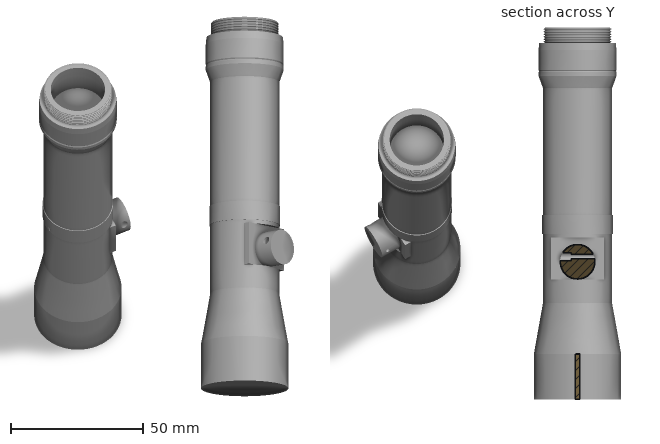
import cadquery as cq


BELL_TOP = 17.1
CONE_TOP = 36.4
RING_BOTTOM = 62.5
RING_TOP = 69.6
FLARE_BOTTOM = 117.5
FLARE_TOP = 122.1
COLLAR_SHOULDER = 131.8
COLLAR_TOP = 134.6
OVERALL_HEIGHT = 140.4

BELL_DIAMETER = 33.0
BELL_RADIUS = BELL_DIAMETER / 2
TUBE_RADIUS = 13.0
RING_RADIUS = 13.3
COLLAR_RADIUS = 14.7
COLLAR_RIM_RADIUS = 14.5

GROOVE_BOTTOM = 123.5
GROOVE_WIDTH = 0.8
GROOVE_DEPTH = 0.3

THREAD_CREST_RADIUS = 12.8
THREAD_DEPTH = 0.4
THREAD_COUNT = 6
BORE_RADIUS = 10.2
BORE_FLOOR = 127.7

PAD_BOTTOM = 45.2
PAD_TOP = 61.0
PAD_WIDTH = 19.9
PAD_FACE = 11.1

KNOB_RADIUS = 6.6
KNOB_HEIGHT = 51.9
OVERALL_DEPTH = 35.5
KNOB_END = OVERALL_DEPTH - BELL_RADIUS
CROSS_HOLE_DIAMETER = 1.5
CROSS_HOLE_Y = 16.4
CROSS_HOLE_Z = 53.9
SCREW_HOLE_DIAMETER = 2.8
SCREW_HOLE_DEPTH = 4.2

POINTER_X = 2.4
POINTER_WIDTH = 1.7
POINTER_HEIGHT = 2.0
POINTER_DEPTH = 0.3


def cylinder(radius, bottom, top):
    return cq.Workplane("XY").workplane(offset=bottom).circle(radius).extrude(top - bottom)


def turned(profile):
    """Revolve a (radius, height) outline about the Z axis."""
    return cq.Workplane("XZ").polyline(profile).close().revolve(360, (0, 0), (0, 1))


def make_bell():
    return cylinder(BELL_RADIUS, 0, BELL_TOP)


def make_pointer():
    """Triangle pointing down to the lower edge of the ring, cut in from the front."""
    half_width = POINTER_WIDTH / 2
    base = RING_BOTTOM + POINTER_HEIGHT
    prism = (
        cq.Workplane("XZ")
        .polyline([
            (POINTER_X - half_width, base),
            (POINTER_X + half_width, base),
            (POINTER_X, RING_BOTTOM),
        ])
        .close()
        .extrude(BELL_RADIUS)
    )
    return prism.cut(cylinder(RING_RADIUS - POINTER_DEPTH, RING_BOTTOM, RING_TOP))


def pad_block(width, inner_face, outer_face):
    """Block over the pad's height, between two faces square to Y."""
    block = cq.Workplane("XY").box(
        width, outer_face - inner_face, PAD_TOP - PAD_BOTTOM, centered=(True, False, False)
    )
    return block.translate((0, inner_face, PAD_BOTTOM))


def make_lower_body():
    body = turned([
        (0, BELL_TOP),
        (BELL_RADIUS, BELL_TOP),
        (TUBE_RADIUS, CONE_TOP),
        (TUBE_RADIUS, RING_BOTTOM),
        (RING_RADIUS, RING_BOTTOM),
        (RING_RADIUS, RING_TOP),
        (0, RING_TOP),
    ])
    pad = pad_block(PAD_WIDTH, 0, PAD_FACE)
    cutback = pad_block(2 * BELL_RADIUS, PAD_FACE, BELL_RADIUS)
    return body.union(pad).cut(cutback).cut(make_pointer())


def make_knob():
    """Round knob on the pad, drilled across and opened wider from the +X side."""
    knob = (
        cq.Workplane("XZ", origin=(0, PAD_FACE, KNOB_HEIGHT))
        .circle(KNOB_RADIUS)
        .extrude(PAD_FACE - KNOB_END)
    )
    cross_hole = (
        cq.Workplane("YZ", origin=(-KNOB_RADIUS, CROSS_HOLE_Y, CROSS_HOLE_Z))
        .circle(CROSS_HOLE_DIAMETER / 2)
        .extrude(2 * KNOB_RADIUS)
    )
    screw_hole = (
        cq.Workplane("YZ", origin=(KNOB_RADIUS - SCREW_HOLE_DEPTH, CROSS_HOLE_Y, CROSS_HOLE_Z))
        .circle(SCREW_HOLE_DIAMETER / 2)
        .extrude(SCREW_HOLE_DEPTH)
    )
    return knob.cut(cross_hole).cut(screw_hole)


def make_barrel():
    return turned([
        (0, RING_TOP),
        (TUBE_RADIUS, RING_TOP),
        (TUBE_RADIUS, FLARE_BOTTOM),
        (COLLAR_RADIUS, FLARE_TOP),
        (0, FLARE_TOP),
    ])


def make_threaded_collar():
    """Grooved collar with a bored spigot whose thread is a stack of flat-topped ridges."""
    root_radius = THREAD_CREST_RADIUS - THREAD_DEPTH
    pitch = (OVERALL_HEIGHT - COLLAR_TOP) / THREAD_COUNT
    profile = [
        (0, FLARE_TOP),
        (COLLAR_RADIUS, FLARE_TOP),
        (COLLAR_RADIUS, GROOVE_BOTTOM),
        (COLLAR_RADIUS - GROOVE_DEPTH, GROOVE_BOTTOM + GROOVE_WIDTH / 2),
        (COLLAR_RADIUS, GROOVE_BOTTOM + GROOVE_WIDTH),
        (COLLAR_RADIUS, COLLAR_SHOULDER),
        (COLLAR_RIM_RADIUS, COLLAR_TOP),
        (root_radius, COLLAR_TOP),
    ]
    for i in range(THREAD_COUNT):
        ridge_base = COLLAR_TOP + i * pitch
        profile.append((THREAD_CREST_RADIUS, ridge_base + pitch / 4))
        profile.append((THREAD_CREST_RADIUS, ridge_base + pitch / 2))
        profile.append((root_radius, ridge_base + pitch * 3 / 4))
        profile.append((root_radius, ridge_base + pitch))
    profile.append((0, OVERALL_HEIGHT))
    return turned(profile).cut(cylinder(BORE_RADIUS, BORE_FLOOR, OVERALL_HEIGHT))


bell = make_bell()
lower_body = make_lower_body()
knob = make_knob()
barrel = make_barrel()
threaded_collar = make_threaded_collar()

result = cq.Compound.makeCompound([
    bell.val(),
    lower_body.val(),
    knob.val(),
    barrel.val(),
    threaded_collar.val(),
])